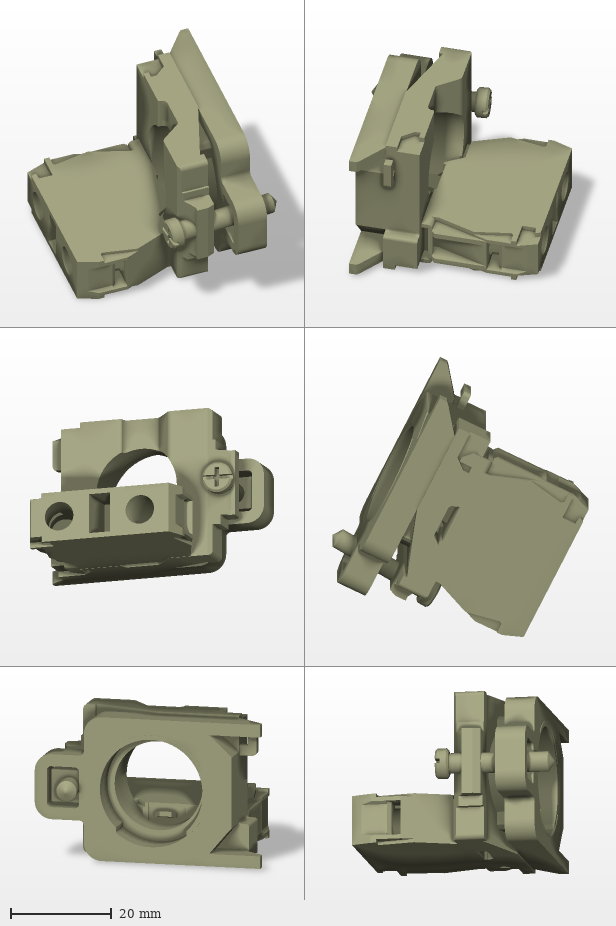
import cadquery as cq
import math


BORE_RADIUS = 8.95
COLLAR_HALF_HEIGHT = 15.0
COLLAR_LEFT = -16.4
COLLAR_RIGHT = 15.35
PLATE_FRONT = -6.05
COLLAR_FRONT = -13.0
COLLAR_DEEP_FRONT = -15.95
SADDLE_Y = -11.45
HUB_RADIUS = 11.45
HUB_SHOULDER_X = 8.2
HUB_CHAMFER = 0.85
PLATE_BORE_RADIUS = 10.5
RELIEF_RADIUS = 11.22
RELIEF_HALF_WIDTH = 7.2
LIP_HEIGHT = 0.15
LIP_LEFT = -10.0
LIP_RIGHT = 8.1

SADDLE_HALF_WIDTH = 3.65
SADDLE_LEFT_FOOT = (-SADDLE_HALF_WIDTH, COLLAR_FRONT)
SADDLE_RIGHT_TOP = (SADDLE_HALF_WIDTH, SADDLE_Y)
SADDLE_RIGHT_FOOT = (7.2, COLLAR_DEEP_FRONT)

PLATE_HALF_HEIGHT = 14.55
PLATE_RIGHT = 13.75
PLATE_CORNER_RADIUS = 3.55
HOOK_TIP = -22.2
HOOK_TIP_THICKNESS = 1.55
HOOK_HEIGHT = 2.55
UPPER_RELIEF_Z = 7.7
LOWER_RELIEF_Z = -6.65
LOOP_RIGHT = 23.8
LOOP_HALF_HEIGHT = 6.6
LOOP_RADIUS = 3.45
LOOP_FILLET = 0.95
SLOT_LEFT = 14.7
SLOT_RIGHT = 21.3
SLOT_HALF_HEIGHT = 4.15
SLOT_CORNER_RADIUS = 0.9

FLANGE_BACK = -9.7
FLANGE_TIP = 20.35
FOOT_LEFT = -18.5
FOOT_TOP = -6.9
FOOT_TOP_RADIUS = 0.65
FOOT_ROOT_RADIUS = 0.5
NOTCH_DEPTH = 1.1

SCREW_TILT = 5.0
SCREW_X = 16.75
SCREW_RADIUS = 2.02
SCREW_TIP = 4.7
SCREW_POINT_LENGTH = 1.3
HEAD_RADIUS = 3.05
HEAD_START = 16.38
HEAD_END = 19.05
HEAD_CHAMFER = 0.4
DRIVE_WIDTH = 0.87
DRIVE_DEPTH = 1.0
CROSS_LENGTH = 3.9
CROSS_WIDTH = 1.9
CROSS_DEPTH = 1.4
NUT_LEFT = 14.95
NUT_RIGHT = 20.7
NUT_HALF_HEIGHT = 3.2
NUT_BACK = -1.4
NUT_FRONT = -4.6

BLOCK_TOP = -5.0
BLOCK_BOTTOM = -14.95
BLOCK_MID = (BLOCK_TOP + BLOCK_BOTTOM) / 2
BLOCK_HALF_WIDTH = 16.0
BLOCK_FRONT = -36.65
BLOCK_FRONT_HALF_WIDTH = 14.5
BLOCK_CHAMFER_START = -32.6
BLOCK_SLOPE_END = -26.6
BLOCK_NECK_LEFT = -12.37
BLOCK_NECK_RIGHT = 11.9
BLOCK_NECK_FRONT = -16.0
SADDLE_FLOOR_Y = -13.5
BLOCK_GAP_HALF_WIDTH = 3.9
SEAT_GAP = 0.8
SEAT_SIDE_GAP = 0.35
SEAT_DEPTH = 0.87
PLUNGER_HALF_WIDTH = 2.02
PLUNGER_TIP_RIGHT = 0.4
PLUNGER_TIP_Y = -8.35
PLUNGER_TIP_TOP = -5.65
PLUNGER_ROOT_TOP = -6.85
PLUNGER_THICKNESS = 1.0
LEDGE_INSET = 1.2
LEDGE_THICKNESS = 1.1
LEDGE_BACK = -15.25
LEDGE_CORNER = 0.65
WIRE_RADIUS = 2.9
WIRE_X = 8.45
WIRE_TILT = 14.0
WIRE_LENGTH = 14.25
WINDOW_HALF_WIDTH = 2.2
WINDOW_HALF_HEIGHT = 3.95
WINDOW_DEPTH = 9.2
GRIP_HALF_HEIGHT = 3.45
GRIP_DEPTH = 0.75
GRIP_WALL_ANGLE = 35.0
GRIP_BACK = -28.7
SIDE_SLOT_INNER = 11.05
SLOT_BEVEL = 0.8
TAPER_DEPTH = 0.7
BRACKET_LEFT = -15.05
BRACKET_RADIUS = 1.0
BRACKET_WALL = 0.87
BRACKET_WEB_RIGHT = -13.95


def prism_z(points, z_low, z_high):
    """Upright prism over an outline in X and Y."""
    return cq.Workplane("XY", origin=(0, 0, z_low)).polyline(points).close().extrude(z_high - z_low)


def box(x_range, y_range, z_range):
    """Box between the given limits on each axis."""
    x_low, y_low, z_low = min(x_range), min(y_range), min(z_range)
    sizes = (max(x_range) - x_low, max(y_range) - y_low, max(z_range) - z_low)
    return cq.Workplane("XY").box(*sizes, centered=False).translate((x_low, y_low, z_low))


def plane_xz(y):
    """Workplane whose local axes are X and Z and whose extrusions run toward -Y."""
    return cq.Workplane("XZ", origin=(0, y, 0))


def back_plate():
    """Plate with a rounded clamping loop on the right and two ramped hooks on the left."""
    turn = math.sqrt(0.5)
    h = PLATE_HALF_HEIGHT
    thickness = -PLATE_FRONT
    body = (plane_xz(0).moveTo(COLLAR_LEFT, -h).lineTo(PLATE_RIGHT, -h).lineTo(PLATE_RIGHT, h)
            .lineTo(COLLAR_LEFT, h).close().extrude(thickness)
            .edges("|Y and >X").fillet(PLATE_CORNER_RADIUS))
    loop_length = LOOP_RIGHT - PLATE_RIGHT
    loop = (plane_xz(0).center(PLATE_RIGHT + loop_length / 2, 0)
            .rect(loop_length, 2 * LOOP_HALF_HEIGHT).extrude(thickness)
            .edges("|Y and >X").fillet(LOOP_RADIUS))
    plate = body.union(loop)
    for side in (1, -1):
        z = side * LOOP_HALF_HEIGHT
        root = (plane_xz(0).moveTo(PLATE_RIGHT, z).lineTo(PLATE_RIGHT + LOOP_FILLET, z)
                .threePointArc((PLATE_RIGHT + LOOP_FILLET * (1 - turn),
                                z + side * LOOP_FILLET * (1 - turn)),
                               (PLATE_RIGHT, z + side * LOOP_FILLET))
                .close().extrude(thickness))
        plate = plate.union(root)
    plate = plate.cut(slot_opening())
    for side in (1, -1):
        plate = plate.cut(hook_relief(side)).union(hook(side))
    return plate


def slot_opening():
    """Rounded window through the clamping loop."""
    return (plane_xz(0).center((SLOT_LEFT + SLOT_RIGHT) / 2, 0)
            .rect(SLOT_RIGHT - SLOT_LEFT, 2 * SLOT_HALF_HEIGHT).extrude(-PLATE_FRONT)
            .edges("|Y").fillet(SLOT_CORNER_RADIUS))


def hook(side):
    """Hook that reaches left past the collar and thins toward its tip."""
    outer = side * PLATE_HALF_HEIGHT
    inner = side * (PLATE_HALF_HEIGHT - HOOK_HEIGHT)
    blunt = 0.55
    return prism_z([(COLLAR_LEFT, 0), (HOOK_TIP, 0), (HOOK_TIP, -HOOK_TIP_THICKNESS),
                    (HOOK_TIP + blunt, -HOOK_TIP_THICKNESS - blunt), (COLLAR_LEFT, PLATE_FRONT)],
                   min(outer, inner), max(outer, inner))


def hook_relief(side):
    """Sloped cut in the plate edge beside a hook."""
    relief_depth = 4.6
    outer_z = side * (PLATE_HALF_HEIGHT - HOOK_HEIGHT)
    inner_z = UPPER_RELIEF_Z if side > 0 else LOWER_RELIEF_Z
    lead_in = 0.9
    return (plane_xz(0).moveTo(COLLAR_LEFT, inner_z)
            .lineTo(COLLAR_LEFT + lead_in, inner_z + side * lead_in)
            .lineTo(COLLAR_LEFT + relief_depth, outer_z).lineTo(COLLAR_LEFT, outer_z)
            .close().extrude(-PLATE_FRONT))


def slope_x(y):
    """X of the saddle's right slope at a given Y."""
    x0, y0 = SADDLE_RIGHT_TOP
    x1, y1 = SADDLE_RIGHT_FOOT
    return x0 + (x1 - x0) * (y - y0) / (y1 - y0)


def collar_body():
    """Collar carried by the plate, cut away behind its right half and saddled in front."""
    outline = [(COLLAR_LEFT, PLATE_FRONT), (0.3, PLATE_FRONT), (PLATE_RIGHT, -10.55),
               (PLATE_RIGHT, FLANGE_BACK), (COLLAR_RIGHT, FLANGE_BACK),
               (COLLAR_RIGHT, COLLAR_DEEP_FRONT), SADDLE_RIGHT_FOOT, SADDLE_RIGHT_TOP,
               (-SADDLE_HALF_WIDTH, SADDLE_Y), SADDLE_LEFT_FOOT, (COLLAR_LEFT, COLLAR_FRONT)]
    body = prism_z(outline, -COLLAR_HALF_HEIGHT, COLLAR_HALF_HEIGHT)
    corner_fillets = [((-SADDLE_HALF_WIDTH, SADDLE_Y), 1.05), (SADDLE_LEFT_FOOT, 0.45),
                      (SADDLE_RIGHT_TOP, 0.65), (SADDLE_RIGHT_FOOT, 1.35)]
    for (x, y), radius in corner_fillets:
        body = body.edges(cq.NearestToPointSelector((x, y, 0))).fillet(radius)
    return body


def hub():
    """Hub around the bore between plate and collar, with chamfered shoulders above and below."""
    length = PLATE_FRONT - SADDLE_Y
    shoulder = (plane_xz(PLATE_FRONT).center(HUB_SHOULDER_X / 2, 0)
                .rect(HUB_SHOULDER_X, 2 * HUB_RADIUS).extrude(length)
                .edges("|Y and >X").chamfer(HUB_CHAMFER))
    return plane_xz(PLATE_FRONT).circle(HUB_RADIUS).extrude(length).union(shoulder)


def plate_bore():
    """Wider bore through the plate, relieved further along its lower side."""
    depth = -PLATE_FRONT
    relief = (plane_xz(0).circle(RELIEF_RADIUS).extrude(depth)
              .intersect(box((-RELIEF_HALF_WIDTH, RELIEF_HALF_WIDTH), (PLATE_FRONT, 0),
                             (-RELIEF_RADIUS, 0))))
    return plane_xz(0).circle(PLATE_BORE_RADIUS).extrude(depth).union(relief)


def back_lip():
    """Thin raised rim around the bore on the back face, trimmed at both sides."""
    ring = plane_xz(LIP_HEIGHT).circle(HUB_RADIUS).circle(RELIEF_RADIUS).extrude(LIP_HEIGHT)
    return ring.intersect(box((LIP_LEFT, LIP_RIGHT), (0, LIP_HEIGHT), (-HUB_RADIUS, HUB_RADIUS)))


def flange():
    """Stepped flange on the right, bevelled in front, that the screw clamps."""
    outline = [(COLLAR_RIGHT, FLANGE_BACK), (19.7, FLANGE_BACK), (FLANGE_TIP, -11.22),
               (FLANGE_TIP, -13.5), (19.35, -13.5), (COLLAR_RIGHT, COLLAR_DEEP_FRONT)]
    profile = prism_z(outline, -COLLAR_HALF_HEIGHT, COLLAR_HALF_HEIGHT)
    rim_x, upper_x, lower_x = 16.3, 16.75, 17.65
    step_z = 8.6
    h, tab = COLLAR_HALF_HEIGHT, LOOP_HALF_HEIGHT
    corner = rim_x - COLLAR_RIGHT
    steps = (plane_xz(0).moveTo(COLLAR_RIGHT, -h).radiusArc((rim_x, -h + corner), -corner)
             .lineTo(rim_x, -step_z).lineTo(lower_x, -step_z).lineTo(lower_x, -tab)
             .lineTo(FLANGE_TIP, -tab).lineTo(FLANGE_TIP, tab).lineTo(upper_x, tab)
             .lineTo(upper_x, step_z).lineTo(rim_x, step_z).lineTo(rim_x, h - corner)
             .radiusArc((COLLAR_RIGHT, h), -corner).close().extrude(-COLLAR_DEEP_FRONT))
    return profile.intersect(steps)


def foot():
    """Block at the lower left, rounded on top and filleted into the collar's side."""
    depth = PLATE_FRONT - COLLAR_FRONT
    r, f = FOOT_TOP_RADIUS, FOOT_ROOT_RADIUS
    return (plane_xz(PLATE_FRONT).moveTo(COLLAR_LEFT, -COLLAR_HALF_HEIGHT)
            .lineTo(FOOT_LEFT, -COLLAR_HALF_HEIGHT).lineTo(FOOT_LEFT, FOOT_TOP - r)
            .radiusArc((FOOT_LEFT + r, FOOT_TOP), r).lineTo(COLLAR_LEFT - f, FOOT_TOP)
            .radiusArc((COLLAR_LEFT, FOOT_TOP + f), -f).close().extrude(depth))


def latch():
    """L-shaped finger on the collar's left side."""
    left, right = -19.85, -18.12
    bottom, shelf, top = 6.85, 8.92, 12.95
    back, front = -6.55, -8.05
    return (plane_xz(back).moveTo(COLLAR_LEFT, bottom).lineTo(left, bottom).lineTo(left, top)
            .lineTo(right, top).lineTo(right, shelf).lineTo(COLLAR_LEFT, shelf).close()
            .extrude(back - front).edges("|Y and <X and <Z").fillet(0.9))


def collar_notch(left, z_low):
    """Shallow arrow-shaped notch at the collar's left front corner."""
    outline = [(left, -8.45), (-12.93, -8.45), (-10.95, -10.75), (-10.95, -11.9),
               (BLOCK_NECK_LEFT, -11.9), (BLOCK_NECK_LEFT, COLLAR_FRONT), (left, COLLAR_FRONT)]
    return prism_z(outline, z_low, z_low + NOTCH_DEPTH)


def screw():
    """Tilted clamp screw with a pointed end and a cross-slotted head."""
    point_base = SCREW_TIP - SCREW_POINT_LENGTH
    turned = (cq.Workplane("XY").moveTo(0, SCREW_TIP).lineTo(SCREW_RADIUS, point_base)
              .lineTo(SCREW_RADIUS, -HEAD_START).lineTo(HEAD_RADIUS - HEAD_CHAMFER, -HEAD_START)
              .lineTo(HEAD_RADIUS, -HEAD_START - HEAD_CHAMFER)
              .lineTo(HEAD_RADIUS, -HEAD_END + HEAD_CHAMFER)
              .lineTo(HEAD_RADIUS - HEAD_CHAMFER, -HEAD_END).lineTo(0, -HEAD_END).close()
              .revolve(360, (0, 0, 0), (0, 1, 0)))
    slot = plane_xz(DRIVE_DEPTH - HEAD_END).rect(2 * HEAD_RADIUS, DRIVE_WIDTH).extrude(DRIVE_DEPTH)
    cross_floor = plane_xz(CROSS_DEPTH - HEAD_END)
    cross = (cross_floor.rect(DRIVE_WIDTH, CROSS_LENGTH).extrude(CROSS_DEPTH)
             .union(cross_floor.rect(CROSS_WIDTH, DRIVE_WIDTH).extrude(CROSS_DEPTH)))
    return (turned.cut(slot).cut(cross)
            .rotate((0, 0, 0), (0, 0, 1), SCREW_TILT).translate((SCREW_X, 0, 0)))


def make_collar():
    """Plate, collar, flange and clamp screw as one solid."""
    bore = plane_xz(0).circle(BORE_RADIUS).extrude(-COLLAR_DEEP_FRONT)
    nut = box((NUT_LEFT, NUT_RIGHT), (NUT_BACK, NUT_FRONT), (-NUT_HALF_HEIGHT, NUT_HALF_HEIGHT))
    collar = back_plate().union(collar_body()).union(hub()).cut(bore)
    collar = collar.cut(plate_bore()).union(back_lip())
    collar = collar.union(flange()).union(foot()).union(latch())
    collar = collar.cut(collar_notch(COLLAR_LEFT, COLLAR_HALF_HEIGHT - NOTCH_DEPTH))
    collar = collar.cut(collar_notch(FOOT_LEFT, -COLLAR_HALF_HEIGHT))
    return collar.union(nut).union(screw())


def block_shell():
    """Tapered block whose back is shaped by the collar it rests on."""
    outline = [(BLOCK_NECK_LEFT, COLLAR_FRONT), (-BLOCK_GAP_HALF_WIDTH, COLLAR_FRONT),
               (-BLOCK_GAP_HALF_WIDTH, SADDLE_FLOOR_Y), (BLOCK_GAP_HALF_WIDTH, SADDLE_FLOOR_Y),
               (BLOCK_GAP_HALF_WIDTH, COLLAR_FRONT), (SADDLE_RIGHT_FOOT[0], COLLAR_FRONT),
               (BLOCK_NECK_RIGHT, COLLAR_DEEP_FRONT),
               (BLOCK_NECK_RIGHT, COLLAR_DEEP_FRONT - SEAT_GAP),
               (BLOCK_HALF_WIDTH, BLOCK_SLOPE_END), (BLOCK_HALF_WIDTH, BLOCK_CHAMFER_START),
               (BLOCK_FRONT_HALF_WIDTH, BLOCK_FRONT), (-BLOCK_FRONT_HALF_WIDTH, BLOCK_FRONT),
               (-BLOCK_HALF_WIDTH, BLOCK_CHAMFER_START), (-BLOCK_HALF_WIDTH, BLOCK_SLOPE_END),
               (BLOCK_NECK_LEFT, BLOCK_NECK_FRONT)]
    return prism_z(outline, BLOCK_BOTTOM, BLOCK_TOP).cut(collar_body())


def seat_rebate():
    """Shallow top step where the block meets the collar's thick right part."""
    foot_x, foot_y = SADDLE_RIGHT_FOOT
    start_x = slope_x(COLLAR_FRONT)
    outline = [(start_x - SEAT_SIDE_GAP, COLLAR_FRONT), (start_x, COLLAR_FRONT), SADDLE_RIGHT_FOOT,
               (BLOCK_NECK_RIGHT, foot_y), (BLOCK_NECK_RIGHT, foot_y - SEAT_GAP),
               (foot_x - SEAT_SIDE_GAP, foot_y - SEAT_GAP)]
    return prism_z(outline, BLOCK_TOP - SEAT_DEPTH, BLOCK_TOP)


def ledge(z_low):
    """Thin shelf that squares out the block's tapered left side."""
    left = -BLOCK_HALF_WIDTH
    outline = [(BLOCK_NECK_LEFT, LEDGE_BACK), (left + LEDGE_CORNER, LEDGE_BACK),
               (left, LEDGE_BACK - LEDGE_CORNER), (left, BLOCK_SLOPE_END),
               (BLOCK_NECK_LEFT, BLOCK_NECK_FRONT)]
    return prism_z(outline, z_low, z_low + LEDGE_THICKNESS)


def bracket():
    """Rounded bracket at the block's upper left, recessed from its left side, with a
    tongue reaching back into the notch under the collar."""
    solid = box((BRACKET_LEFT, BLOCK_NECK_LEFT), (COLLAR_FRONT, LEDGE_BACK),
                (BLOCK_BOTTOM, BLOCK_TOP)).edges("|X and <Y").fillet(BRACKET_RADIUS)
    recess = box((BRACKET_LEFT, BLOCK_NECK_LEFT),
                 (COLLAR_FRONT, LEDGE_BACK + BRACKET_WALL),
                 (BLOCK_BOTTOM + BRACKET_WALL, BLOCK_TOP - BRACKET_WALL))
    tongue_back = -9.25
    tongue = prism_z([(BRACKET_LEFT, COLLAR_FRONT), (BRACKET_LEFT, -11.1), (-13.15, tongue_back),
                      (BLOCK_NECK_LEFT, tongue_back), (BLOCK_NECK_LEFT, COLLAR_FRONT)],
                     BLOCK_BOTTOM, BLOCK_BOTTOM + BRACKET_WALL)
    return solid.cut(recess).union(tongue)


def bracket_window():
    """Opening between the bracket's web and the block's tapered side."""
    half_height = BLOCK_TOP - LEDGE_INSET - LEDGE_THICKNESS - BLOCK_MID
    return box((BRACKET_WEB_RIGHT, BLOCK_NECK_LEFT), (BLOCK_NECK_FRONT, LEDGE_BACK + BRACKET_WALL),
               (BLOCK_MID - half_height, BLOCK_MID + half_height))


def plunger():
    """Sloped tongue that reaches through the saddle into the bore, narrowed at its tip."""
    w, t = PLUNGER_HALF_WIDTH, PLUNGER_THICKNESS
    side = (cq.Workplane("YZ", origin=(-w, 0, 0)).moveTo(SADDLE_FLOOR_Y, PLUNGER_ROOT_TOP)
            .lineTo(PLUNGER_TIP_Y, PLUNGER_TIP_TOP).lineTo(PLUNGER_TIP_Y, PLUNGER_TIP_TOP - t)
            .lineTo(SADDLE_FLOOR_Y, PLUNGER_ROOT_TOP - t).close().extrude(2 * w))
    plan = prism_z([(-w, SADDLE_FLOOR_Y), (w, SADDLE_FLOOR_Y), (w, SADDLE_Y),
                    (PLUNGER_TIP_RIGHT, PLUNGER_TIP_Y), (-w, PLUNGER_TIP_Y)], BLOCK_BOTTOM, BLOCK_TOP)
    return side.intersect(plan)


def wire_hole(side):
    """Flat-bottomed round hole in the front that leans outward."""
    lean = math.radians(WIRE_TILT)
    direction = cq.Vector(side * math.sin(lean), math.cos(lean), 0)
    overrun = 2.3
    mouth = cq.Vector(side * WIRE_X, BLOCK_FRONT, BLOCK_MID)
    start = mouth - direction * overrun
    return cq.Workplane(obj=cq.Solid.makeCylinder(WIRE_RADIUS, WIRE_LENGTH + overrun, start, direction))


def taper_pocket(side, z_low):
    """Shallow wedge-shaped pocket in the top or bottom at one side of the block."""
    tip, foot, end = (15.0, -23.85), (13.65, -31.0), (13.95, -31.5)
    outline = [tip, foot, end, (BLOCK_HALF_WIDTH, end[1]), (BLOCK_HALF_WIDTH, tip[1])]
    return prism_z([(side * x, y) for x, y in outline], z_low, z_low + TAPER_DEPTH)


def block_notch(z_low):
    """Shallow notch at the block's left front corner."""
    outline = [(-BLOCK_HALF_WIDTH, BLOCK_CHAMFER_START), (-10.95, BLOCK_CHAMFER_START), (-10.95, -35.45),
               (-12.4, -35.6), (-12.4, -36.05), (-12.1, BLOCK_FRONT), (-BLOCK_HALF_WIDTH, BLOCK_FRONT)]
    return prism_z(outline, z_low, z_low + NOTCH_DEPTH)


def grip(side):
    """Side recess with sloped walls that runs out through the front chamfer."""
    length = BLOCK_SLOPE_END - BLOCK_FRONT
    recess = (cq.Workplane("YZ", origin=(-BLOCK_HALF_WIDTH, 0, 0))
              .center(BLOCK_SLOPE_END - length / 2, BLOCK_MID).rect(length, 2 * GRIP_HALF_HEIGHT)
              .extrude(GRIP_DEPTH, taper=GRIP_WALL_ANGLE))
    return recess if side < 0 else recess.mirror("YZ")


def side_slot(side):
    """Slot from the side into the wire hole, bevelled where it meets the grip floor."""
    floor_x = BLOCK_HALF_WIDTH - GRIP_DEPTH
    outline = [(BLOCK_HALF_WIDTH, BLOCK_SLOPE_END), (SIDE_SLOT_INNER, BLOCK_SLOPE_END),
               (SIDE_SLOT_INNER, GRIP_BACK), (floor_x - SLOT_BEVEL, GRIP_BACK),
               (floor_x, GRIP_BACK - SLOT_BEVEL), (BLOCK_HALF_WIDTH, GRIP_BACK - SLOT_BEVEL)]
    return prism_z([(side * x, y) for x, y in outline],
                   BLOCK_MID - GRIP_HALF_HEIGHT, BLOCK_MID + GRIP_HALF_HEIGHT)


def make_block():
    """Contact block with its bracket, ledges, plunger and openings as one solid."""
    block = block_shell().cut(seat_rebate())
    block = block.union(ledge(BLOCK_TOP - LEDGE_INSET - LEDGE_THICKNESS))
    block = block.union(ledge(BLOCK_BOTTOM + LEDGE_INSET)).union(bracket())
    block = block.union(plunger()).cut(bracket_window())
    window = box((-WINDOW_HALF_WIDTH, WINDOW_HALF_WIDTH), (BLOCK_FRONT, BLOCK_FRONT + WINDOW_DEPTH),
                 (BLOCK_MID - WINDOW_HALF_HEIGHT, BLOCK_MID + WINDOW_HALF_HEIGHT))
    block = block.cut(window)
    for side in (-1, 1):
        block = block.cut(wire_hole(side)).cut(grip(side)).cut(side_slot(side))
        block = block.cut(taper_pocket(side, BLOCK_TOP - TAPER_DEPTH))
        block = block.cut(taper_pocket(side, BLOCK_BOTTOM))
    return block.cut(block_notch(BLOCK_TOP - NOTCH_DEPTH)).cut(block_notch(BLOCK_BOTTOM))


collar = make_collar()
block = make_block()
result = cq.Compound.makeCompound([collar.solids().val(), block.solids().val()])